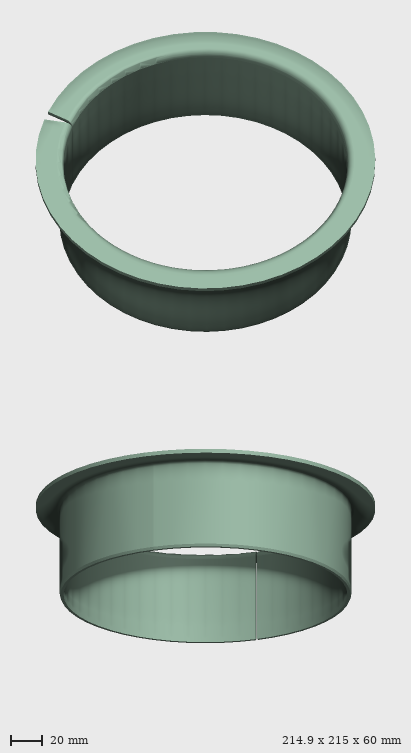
import cadquery as cq

flange_radius = 107.5
height = 60.0
wall = 2.5
tube_radius = 92.5
bend_inner_radius = 1.7
chamfer_height = 1.7
chamfer_depth = 0.6
split_bore_width = 0.9
split_rim_width = 6.9

bore_radius = tube_radius - wall
bend_outer_radius = bend_inner_radius + wall
bend_center_radius = tube_radius + bend_inner_radius
bend_center_z = height - bend_outer_radius
flange_bottom = height - wall


def flanged_sleeve():
    """Revolve the thin wall that bends outward into the top flange."""
    diagonal = 0.5 ** 0.5
    outside_mid = (
        bend_center_radius - bend_inner_radius * diagonal,
        bend_center_z + bend_inner_radius * diagonal,
    )
    inside_mid = (
        bend_center_radius - bend_outer_radius * diagonal,
        bend_center_z + bend_outer_radius * diagonal,
    )
    profile = (
        cq.Workplane("XZ")
        .moveTo(bore_radius, 0)
        .lineTo(tube_radius - chamfer_depth, 0)
        .lineTo(tube_radius, chamfer_height)
        .lineTo(tube_radius, bend_center_z)
        .threePointArc(outside_mid, (bend_center_radius, flange_bottom))
        .lineTo(flange_radius, flange_bottom)
        .lineTo(flange_radius, height)
        .lineTo(bend_center_radius, height)
        .threePointArc(inside_mid, (bore_radius, bend_center_z))
        .close()
    )
    return profile.revolve(360, (0, 0, 0), (0, 1, 0))


def tapered_split():
    """Full-height split on the -X side, widening from the bore to the flange rim."""
    half_bore_gap = split_bore_width / 2
    half_rim_gap = split_rim_width / 2
    return (
        cq.Workplane("XY")
        .polyline([
            (0, -half_bore_gap),
            (-bore_radius, -half_bore_gap),
            (-flange_radius, -half_rim_gap),
            (-flange_radius, half_rim_gap),
            (-bore_radius, half_bore_gap),
            (0, half_bore_gap),
        ])
        .close()
        .extrude(height)
    )


result = flanged_sleeve().cut(tapered_split())